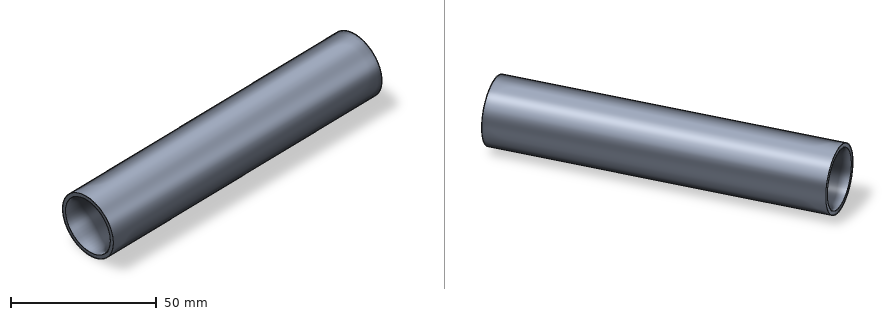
import cadquery as cq

length = 127.0
outer_diameter = 25.4
wall_thickness = 1.5
inner_diameter = outer_diameter - 2 * wall_thickness

result = (
    cq.Workplane("XZ", origin=(0, length / 2, 0))
    .circle(outer_diameter / 2)
    .circle(inner_diameter / 2)
    .extrude(length)
)